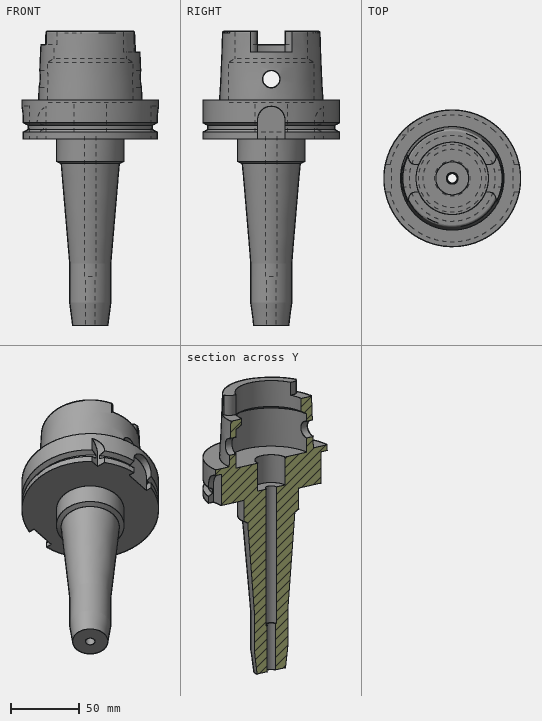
import cadquery as cq
import math

total_length = 215.0

taper_height = 50.0
taper_base_radius = 37.8
taper_top_radius = 35.7
taper_rim_fillet = 1.5

flange_diameter = 100.0
flange_radius = flange_diameter / 2
flange_height = 28.8
groove_bottom_radius = 46.5
groove_top_z = -16.8
groove_flank_height = 2.0
groove_floor_height = 3.0

collar_radius = 24.7
collar_bottom_z = -45.0
collar_chamfer_height = 1.7
neck_top_radius = 21.3
neck_bottom_z = -119.8
nose_radius = 15.0
nose_bottom_z = -148.4
tip_radius = 13.0
tip_z = taper_height - total_length

mouth_radius = 26.5
mouth_depth = 20.0
cavity_radius = 31.4
cavity_cone_slope = 30
cavity_cone_height = (cavity_radius - mouth_radius) * math.tan(math.radians(cavity_cone_slope))
cavity_floor_z = -2.2
thread_radius = 12.0
thread_depth = 21.5
channel_radius = 4.3
tool_bore_radius = 3.5
tool_bore_depth = 36.0

slot_half_width = 10.0
slot_corner_radius = 5.0
slot_mouth_x = 31.8
left_slot_depth = 9.9
right_slot_depth = 15.3

cross_hole_radius = 6.2
cross_hole_z = 15.0

keyway_width = 20.0
keyway_radius = keyway_width / 2
keyway_top_z = -4.7
keyway_floor_x = 44.5
notch_radius = 13.0
notch_center_y = 44.5
notch_center_z = -16.3
notch_floor_x = 32.2

clearance = 4.3


def revolved(points):
    """Solid of revolution about Z from an (r, z) outline."""
    return cq.Workplane("XZ").polyline(points).close().revolve(360, (0, 0, 0), (0, 1, 0))


def make_body():
    groove_floor_top_z = groove_top_z - groove_flank_height
    groove_floor_bottom_z = groove_floor_top_z - groove_floor_height
    groove_bottom_z = groove_floor_bottom_z - groove_flank_height
    body = revolved([
        (0, taper_height),
        (taper_top_radius, taper_height),
        (taper_base_radius, 0),
        (flange_radius, 0),
        (flange_radius, groove_top_z),
        (groove_bottom_radius, groove_floor_top_z),
        (groove_bottom_radius, groove_floor_bottom_z),
        (flange_radius, groove_bottom_z),
        (flange_radius, -flange_height),
        (collar_radius, -flange_height),
        (collar_radius, collar_bottom_z),
        (neck_top_radius, collar_bottom_z - collar_chamfer_height),
        (nose_radius, neck_bottom_z),
        (nose_radius, nose_bottom_z),
        (tip_radius, tip_z),
        (0, tip_z),
    ])
    return body.faces(">Z").edges().fillet(taper_rim_fillet)


def make_bore():
    mouth_bottom_z = taper_height - mouth_depth
    thread_bottom_z = cavity_floor_z - thread_depth
    tool_bore_top_z = tip_z + tool_bore_depth
    return revolved([
        (0, taper_height),
        (mouth_radius, taper_height),
        (mouth_radius, mouth_bottom_z),
        (cavity_radius, mouth_bottom_z - cavity_cone_height),
        (cavity_radius, cavity_floor_z),
        (thread_radius, cavity_floor_z),
        (thread_radius, thread_bottom_z),
        (channel_radius, thread_bottom_z),
        (channel_radius, tool_bore_top_z),
        (tool_bore_radius, tool_bore_top_z),
        (tool_bore_radius, tip_z),
        (0, tip_z),
    ])


def make_drive_slot(depth):
    """Slot on the +X side whose walls round outward at the mouth."""
    mouth_half_width = slot_half_width + slot_corner_radius
    arc_start_x = slot_mouth_x - slot_corner_radius
    arc_offset = slot_corner_radius * math.sqrt(0.5)
    arc_middle = (arc_start_x + arc_offset, mouth_half_width - arc_offset)
    outer_x = taper_base_radius + clearance
    return (
        cq.Workplane("XY", origin=(0, 0, taper_height - depth))
        .moveTo(0, -slot_half_width)
        .lineTo(arc_start_x, -slot_half_width)
        .threePointArc((arc_middle[0], -arc_middle[1]), (slot_mouth_x, -mouth_half_width))
        .lineTo(outer_x, -mouth_half_width)
        .lineTo(outer_x, mouth_half_width)
        .lineTo(slot_mouth_x, mouth_half_width)
        .threePointArc(arc_middle, (arc_start_x, slot_half_width))
        .lineTo(0, slot_half_width)
        .close()
        .extrude(depth + clearance)
    )


def make_flange_slot(center_y, center_z, radius, floor_x):
    """Round-topped slot on the +X side, open at the flange's lower face."""
    return (
        cq.Workplane("YZ", origin=(floor_x, 0, 0))
        .moveTo(center_y - radius, -flange_height)
        .lineTo(center_y - radius, center_z)
        .threePointArc((center_y, center_z + radius), (center_y + radius, center_z))
        .lineTo(center_y + radius, -flange_height)
        .close()
        .extrude(flange_radius + clearance - floor_x)
    )


result = make_body().cut(make_bore())

result = result.cut(make_drive_slot(right_slot_depth))
result = result.cut(make_drive_slot(left_slot_depth).mirror("YZ"))

cross_hole = (
    cq.Workplane("YZ", origin=(0, 0, cross_hole_z))
    .circle(cross_hole_radius)
    .extrude(taper_base_radius + clearance, both=True)
)
result = result.cut(cross_hole)

keyway = make_flange_slot(0, keyway_top_z - keyway_radius, keyway_radius, keyway_floor_x)
notch = make_flange_slot(notch_center_y, notch_center_z, notch_radius, notch_floor_x)
result = result.cut(keyway).cut(keyway.mirror("YZ")).cut(notch.mirror("YZ"))